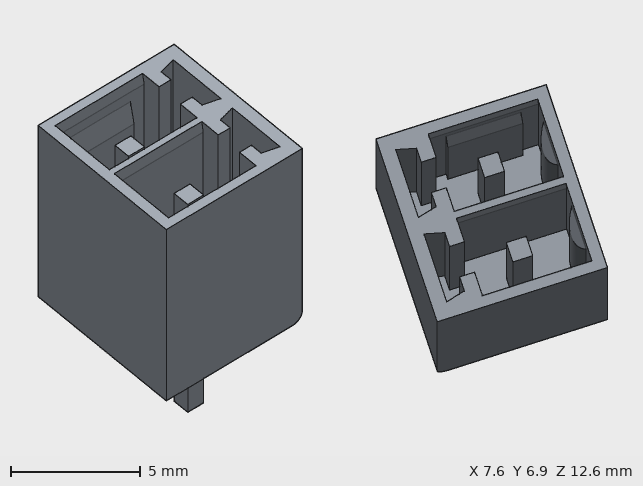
import cadquery as cq

width = 7.6
depth = 6.9
height = 9.2
back_round = 0.5

pitch = 3.5
pin_size = 0.81
pin_y = 2.9
pin_tail = 12.6 - height
pin_tip_recess = 1.44

floor_thickness = 1.51
mouth_width = 3.21
lead_in_inset = 0.09
lead_in_height = 0.5
cavity_width = mouth_width - 2 * lead_in_inset
front_wall = 0.49
cavity_back_y = 4.93
neck_width = 1.26
neck_back_y = 5.53
slot_back_y = 6.31
slot_front_width = 2.42
slot_back_width = 2.82

latch_thickness = 0.21
latch_length = 3.04
latch_front_y = 1.2
latch_top_recess = 1.01
latch_ramp_height = 1.05

rib_chord = 1.79
rib_rise = 0.32
rib_top_recess = latch_top_recess
rib_top_drop = 1.13

cavity_depth = height - floor_thickness
cavity_length = cavity_back_y - front_wall
outer_wall_x = pitch / 2 + cavity_width / 2
contact_positions = (-pitch / 2, pitch / 2)


def make_housing():
    block = cq.Workplane("XY").box(width, depth, height, centered=(True, False, False))
    return block.edges("|X and >Y and <Z").fillet(back_round)


def make_socket(x):
    """Cutter: contact cavity, keyed rear slot and sloped lead-in on the side walls."""
    half_cavity = cavity_width / 2
    half_neck = neck_width / 2
    half_slot_front = slot_front_width / 2
    half_slot_back = slot_back_width / 2
    right_side = [
        (half_cavity, front_wall),
        (half_cavity, cavity_back_y),
        (half_neck, cavity_back_y),
        (half_neck, neck_back_y),
        (half_slot_front, neck_back_y),
        (half_slot_back, slot_back_y),
    ]
    left_side = [(-px, py) for px, py in reversed(right_side)]
    well = (
        cq.Workplane("XY", origin=(x, 0, floor_thickness))
        .polyline(right_side + left_side)
        .close()
        .extrude(cavity_depth)
    )
    half_mouth = mouth_width / 2
    lead_in_bottom = height - lead_in_height
    lead_in = (
        cq.Workplane("XZ", origin=(x, cavity_back_y, 0))
        .polyline([
            (-half_cavity, lead_in_bottom),
            (half_cavity, lead_in_bottom),
            (half_mouth, height),
            (-half_mouth, height),
        ])
        .close()
        .extrude(cavity_length)
    )
    return well.union(lead_in)


def make_rib(x):
    """Vertical rib with an arc-shaped section and a top sloping down away from the front wall."""
    top = height - rib_top_recess
    column = (
        cq.Workplane("XY", origin=(x, front_wall, floor_thickness))
        .moveTo(-rib_chord / 2, 0)
        .threePointArc((0, rib_rise), (rib_chord / 2, 0))
        .close()
        .extrude(top - floor_thickness)
    )
    side_profile = (
        cq.Workplane("YZ", origin=(x, front_wall, 0))
        .polyline([
            (0, floor_thickness),
            (rib_rise, floor_thickness),
            (rib_rise, top - rib_top_drop),
            (0, top),
        ])
        .close()
        .extrude(rib_chord / 2, both=True)
    )
    return column.intersect(side_profile)


def make_latch():
    """Ramped pad on the +X side wall, running down to the socket floor."""
    top = height - latch_top_recess
    inner_x = outer_wall_x - latch_thickness
    return (
        cq.Workplane("XZ", origin=(0, latch_front_y + latch_length, 0))
        .polyline([
            (outer_wall_x, floor_thickness),
            (outer_wall_x, top),
            (inner_x, top - latch_ramp_height),
            (inner_x, floor_thickness),
        ])
        .close()
        .extrude(latch_length)
    )


def make_pin(x):
    return (
        cq.Workplane("XY", origin=(x, pin_y, -pin_tail))
        .rect(pin_size, pin_size)
        .extrude(pin_tail + height - pin_tip_recess)
    )


result = make_housing()
for contact_x in contact_positions:
    result = result.cut(make_socket(contact_x))
    result = result.union(make_rib(contact_x))
    result = result.union(make_pin(contact_x))

latch = make_latch()
result = result.union(latch).union(latch.mirror("YZ"))